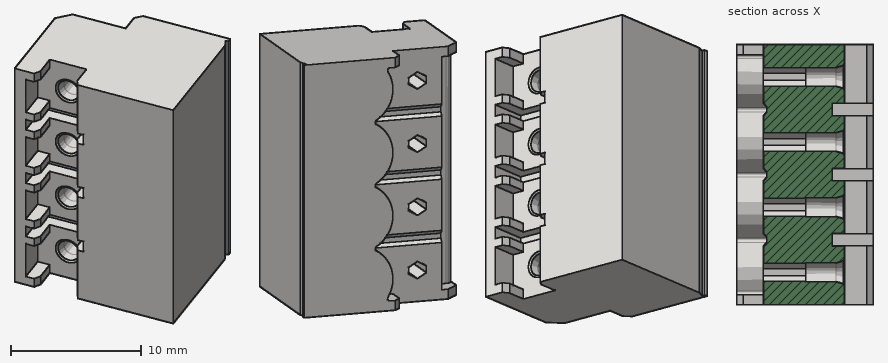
import cadquery as cq
import math

WIDTH = 13.4
DEPTH = 10.5
HEIGHT = 20.0

POLE_COUNT = 4
PITCH = HEIGHT / POLE_COUNT
POLE_CENTRES = [PITCH * (i + 0.5) for i in range(POLE_COUNT)]
POLE_BORDERS = [PITCH * i for i in range(1, POLE_COUNT)]

SHELF_Y = 8.45
STEP_X = 5.5
SHELF_CHAMFER = 1.02
STEP_CHAMFER = 0.52

LIP_THICKNESS = 0.35
UNDERCUT_DEPTH = 0.25
UNDERCUT_LENGTH = 0.65

CHANNEL_LEFT = 1.95
CHANNEL_RIGHT = 5.05
CHANNEL_DEPTH = 2.2
LEFT_LEAD_IN = 0.32
RIGHT_LEAD_IN = 0.28
LEAD_IN_DEPTH = 0.5

NOTCH_LEFT = 0.95
NOTCH_HALF_HEIGHT = 1.35
END_WALL = 0.78

GROOVE_HEIGHT = 0.95
GROOVE_RIGHT = 5.8
GROOVE_EXTRA_DEPTH = 0.95
GROOVE_DEPTH = CHANNEL_DEPTH + GROOVE_EXTRA_DEPTH

HOLE_X = 3.5
HOLE_DIAMETER = 1.4
RIM_DIAMETER = 2.1
RIM_INNER_DIAMETER = 1.75
RIM_DEPTH = 0.1
TAPER_DEPTH = 0.6
BORE_DEPTH = 3.0
TIP_HALF_HEIGHT = 0.68
SIDE_HALF_WIDTH = 0.72
TIP_SLOPE = math.radians(30)

RECESS_X = 1.52
RECESS_Y = 6.65
RECESS_ROUND = 0.58

BUMP_RADIUS = 2.7
BUMP_CREST_X = 6.2
VALLEY_RADIUS = 0.2

DRAIN_DEPTH = 0.25
DRAIN_TOP_HALF = 0.48
DRAIN_BOTTOM_HALF = 0.2


def box(x0, x1, y0, y1, z0, z1):
    """Axis-aligned box between two corners."""
    return cq.Workplane("XY").box(x1 - x0, y1 - y0, z1 - z0, centered=False).translate((x0, y0, z0))


def prism_along_y(sketch, y0, y1):
    """Extrude a wire drawn in X and Z along +Y from y0 to y1."""
    return sketch.extrude(-(y1 - y0)).translate((0, y0, 0))


def body():
    """Full-height block with the stepped, chamfered outline."""
    outline = [
        (0, 0),
        (CHANNEL_LEFT - LEFT_LEAD_IN, 0),
        (CHANNEL_LEFT, LEAD_IN_DEPTH),
        (CHANNEL_LEFT, CHANNEL_DEPTH),
        (CHANNEL_RIGHT, CHANNEL_DEPTH),
        (CHANNEL_RIGHT, LEAD_IN_DEPTH),
        (CHANNEL_RIGHT + RIGHT_LEAD_IN, 0),
        (WIDTH, 0),
        (WIDTH, DEPTH - LIP_THICKNESS - UNDERCUT_LENGTH),
        (WIDTH - UNDERCUT_DEPTH, DEPTH - LIP_THICKNESS),
        (WIDTH, DEPTH - LIP_THICKNESS),
        (WIDTH, DEPTH),
        (STEP_X + STEP_CHAMFER, DEPTH),
        (STEP_X, DEPTH - STEP_CHAMFER),
        (STEP_X, SHELF_Y),
        (SHELF_CHAMFER, SHELF_Y),
        (0, SHELF_Y - SHELF_CHAMFER),
    ]
    return cq.Workplane("XY").polyline(outline).close().extrude(HEIGHT)


def front_notches():
    """One notch per pole; the outer two reach to the end walls."""
    notches = cq.Workplane("XY")
    for i, centre in enumerate(POLE_CENTRES):
        bottom = END_WALL if i == 0 else centre - NOTCH_HALF_HEIGHT
        top = HEIGHT - END_WALL if i == POLE_COUNT - 1 else centre + NOTCH_HALF_HEIGHT
        notches = notches.add(box(NOTCH_LEFT, CHANNEL_RIGHT, 0, CHANNEL_DEPTH, bottom, top))
    return notches.combine()


def cross_groove(z):
    """Groove across the channel, cut deeper than its floor."""
    half = GROOVE_HEIGHT / 2
    return box(NOTCH_LEFT, GROOVE_RIGHT, 0, GROOVE_DEPTH, z - half, z + half)


def screw_hole(z):
    """Countersunk, tapered bore that ends in a six-sided opening to the shelf."""
    taper_end = CHANNEL_DEPTH + RIM_DEPTH + TAPER_DEPTH
    bore_end = CHANNEL_DEPTH + BORE_DEPTH
    half_profile = [
        (0, CHANNEL_DEPTH),
        (RIM_DIAMETER / 2, CHANNEL_DEPTH),
        (RIM_INNER_DIAMETER / 2, CHANNEL_DEPTH + RIM_DEPTH),
        (HOLE_DIAMETER / 2, taper_end),
        (HOLE_DIAMETER / 2, bore_end),
        (0, bore_end),
    ]
    bore = cq.Workplane("XY").polyline(half_profile).close().revolve(360, (0, 0), (0, 1))

    side_half_height = TIP_HALF_HEIGHT - SIDE_HALF_WIDTH * math.tan(TIP_SLOPE)
    opening = [
        (0, TIP_HALF_HEIGHT),
        (SIDE_HALF_WIDTH, side_half_height),
        (SIDE_HALF_WIDTH, -side_half_height),
        (0, -TIP_HALF_HEIGHT),
        (-SIDE_HALF_WIDTH, -side_half_height),
        (-SIDE_HALF_WIDTH, side_half_height),
    ]
    sketch = cq.Workplane("XZ").polyline(opening).close()
    passage = prism_along_y(sketch, bore_end, DEPTH)
    return bore.union(passage).translate((HOLE_X, 0, z))


def side_recess():
    """Recess in the left face, its front edge rounded over to the face."""
    edge_y = RECESS_Y - RECESS_ROUND
    diagonal = RECESS_ROUND * math.sqrt(0.5)
    return (
        cq.Workplane("XY", origin=(0, 0, END_WALL))
        .moveTo(0, edge_y)
        .threePointArc((RECESS_ROUND - diagonal, edge_y + diagonal), (RECESS_ROUND, RECESS_Y))
        .lineTo(RECESS_X, RECESS_Y)
        .lineTo(RECESS_X, DEPTH)
        .lineTo(0, DEPTH)
        .close()
        .extrude(HEIGHT - 2 * END_WALL)
    )


def bump_pocket(floor_y):
    """Pocket from floor_y to the rear, its wall a row of bumps with rounded valleys."""
    bump_x = BUMP_CREST_X + BUMP_RADIUS
    reach = BUMP_RADIUS + VALLEY_RADIUS
    share = BUMP_RADIUS / reach

    def valley_x(offset):
        """X of the valley round's centre, at a Z offset from a bump axis."""
        return bump_x - math.sqrt(reach**2 - offset**2)

    mid_x = valley_x(PITCH / 2)
    tangent_x = bump_x + (mid_x - bump_x) * share
    tangent_offset = PITCH / 2 * share

    end_z = END_WALL + VALLEY_RADIUS
    end_offset = POLE_CENTRES[0] - end_z
    end_x = valley_x(end_offset)
    end_tangent_x = bump_x + (end_x - bump_x) * share
    end_tangent_offset = end_offset * share
    lean = math.asin(end_offset / reach)
    arc_middle = (math.pi / 2 - lean) / 2
    middle_x = end_x + VALLEY_RADIUS * math.sin(arc_middle)
    middle_drop = VALLEY_RADIUS * math.cos(arc_middle)

    wire = cq.Workplane("XZ").moveTo(0, END_WALL).lineTo(end_x, END_WALL)
    wire = wire.threePointArc(
        (middle_x, end_z - middle_drop),
        (end_tangent_x, POLE_CENTRES[0] - end_tangent_offset),
    )
    for centre, border in zip(POLE_CENTRES, POLE_BORDERS):
        wire = wire.threePointArc((BUMP_CREST_X, centre), (tangent_x, centre + tangent_offset))
        next_start = centre + PITCH - tangent_offset
        wire = wire.threePointArc((mid_x + VALLEY_RADIUS, border), (tangent_x, next_start))
    last = POLE_CENTRES[-1]
    wire = wire.threePointArc((BUMP_CREST_X, last), (end_tangent_x, last + end_tangent_offset))
    wire = wire.threePointArc((middle_x, HEIGHT - end_z + middle_drop), (end_x, HEIGHT - END_WALL))
    wire = wire.lineTo(0, HEIGHT - END_WALL).close()
    return prism_along_y(wire, floor_y, DEPTH)


def drain_groove(z):
    """Shallow tapered groove across the shelf, ending flush with the bumps and valley."""
    floor_y = SHELF_Y - DRAIN_DEPTH
    section = [
        (SHELF_Y, z - DRAIN_TOP_HALF),
        (floor_y, z - DRAIN_BOTTOM_HALF),
        (floor_y, z + DRAIN_BOTTOM_HALF),
        (SHELF_Y, z + DRAIN_TOP_HALF),
    ]
    groove = cq.Workplane("YZ").polyline(section).close().extrude(WIDTH)
    return groove.intersect(bump_pocket(floor_y))


result = body().cut(front_notches()).cut(side_recess()).cut(bump_pocket(SHELF_Y))
for pole_z in POLE_CENTRES:
    result = result.cut(screw_hole(pole_z))
for border_z in POLE_BORDERS:
    result = result.cut(cross_groove(border_z)).cut(drain_groove(border_z))